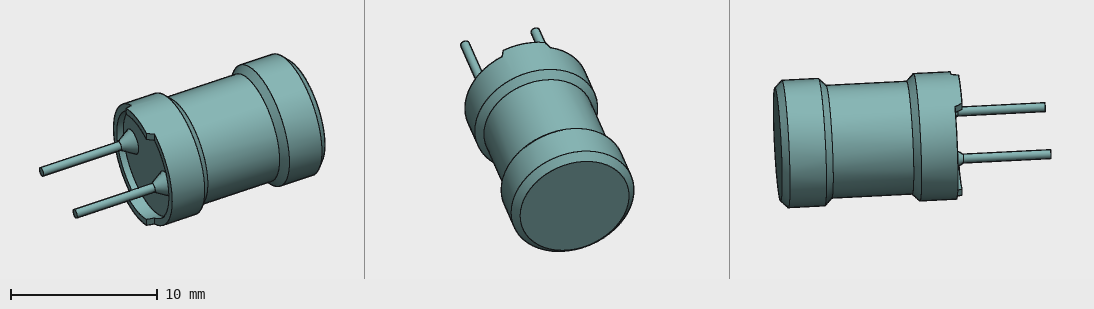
import cadquery as cq

overall_length = 18.5
housing_length = 12.5
flange_radius = 4.37
step = 0.5
neck_radius = flange_radius - step
bore_radius = flange_radius - step
flange_length = 3.0
recess_depth = 1.0
tab_tip_width = 3.0
tab_base_width = 3.45

lead_spacing = 5.0
lead_radius = 0.31
lead_protrusion = overall_length - housing_length
cone_base_radius = 0.9
lead_positions = [-lead_spacing / 2, lead_spacing / 2]


def spool():
    """Solid spool with chamfered flanges, revolved about the Y axis."""
    rear_flange_start = housing_length - flange_length
    outline = [
        (0, 0),
        (flange_radius, 0),
        (flange_radius, flange_length),
        (neck_radius, flange_length + step),
        (neck_radius, rear_flange_start - step),
        (flange_radius, rear_flange_start),
        (flange_radius, housing_length - step),
        (neck_radius, housing_length),
        (0, housing_length),
    ]
    return cq.Workplane("XY").polyline(outline).close().revolve(360, (0, 0), (0, 1))


def cylinder_along_y(radius, start, end):
    """Cylinder on the Y axis between two Y positions."""
    return cq.Workplane("XZ", origin=(0, end, 0)).circle(radius).extrude(end - start)


def rim_notch(side):
    """Cutter that lowers the rim on one side in X, leaving the sloped flank of the tabs."""
    outline = [
        (side * tab_tip_width / 2, 0),
        (side * tab_base_width / 2, step),
        (side * flange_radius, step),
        (side * flange_radius, 0),
    ]
    return cq.Workplane("XY").polyline(outline).close().extrude(flange_radius, both=True)


def make_housing():
    """Spool with a recessed front face and two tabs on its rim."""
    body = spool().cut(cylinder_along_y(bore_radius, 0, recess_depth))
    for side in (-1, 1):
        body = body.cut(rim_notch(side))
    return body


def make_lead(x):
    """Round wire standing on the recess floor."""
    return cylinder_along_y(lead_radius, -lead_protrusion, recess_depth).translate((x, 0, 0))


def make_solder_cone(x):
    """Solder cone on the recess floor, tapering onto the wire that passes through it."""
    outline = [
        (lead_radius, 0),
        (lead_radius, recess_depth),
        (cone_base_radius, recess_depth),
    ]
    cone = cq.Workplane("XY").polyline(outline).close().revolve(360, (0, 0), (0, 1))
    return cone.translate((x, 0, 0))


housing = make_housing()
leads = [make_lead(x).val() for x in lead_positions]
solder_cones = [make_solder_cone(x).val() for x in lead_positions]

result = cq.Compound.makeCompound([housing.val(), *leads, *solder_cones])